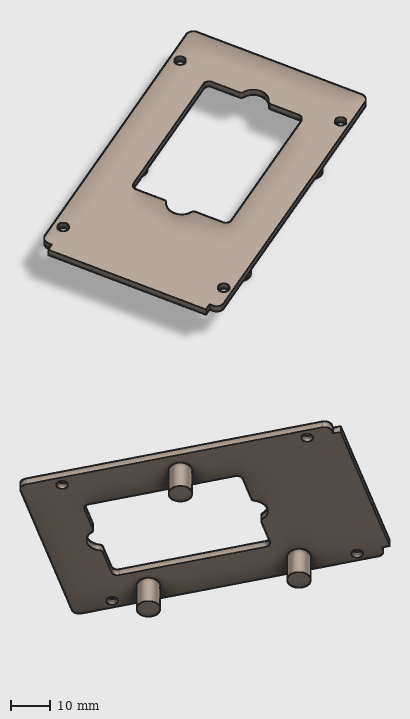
import cadquery as cq

plate_width = 51.3
total_length = 84.7
plate_thickness = 2.0
tab_depth = 2.0
tab_width = 45.3
plate_corner_radius = 2.0

feature_center_x = 0.2

hole_diameter = 3.0
hole_spacing_x = 46.1
hole_spacing_y = 65.05
hole_center_y = -1.0

window_width = 28.0
window_length = 42.0
window_center_y = 7.6
window_corner_radius = 1.5
notch_radius = 4.0
notch_depth = 2.9
notch_mouth_radius = 1.0

post_diameter = 6.0
total_height = 10.0
post_offset_x = 20.0
post_pitch_y = 20.0
post_middle_y = 1.0
post_length = total_height - plate_thickness


def make_plate():
    body_length = total_length - tab_depth
    body = (
        cq.Workplane("XY")
        .center(0, tab_depth / 2)
        .rect(plate_width, body_length)
        .extrude(plate_thickness)
        .edges("|Z")
        .fillet(plate_corner_radius)
    )
    tab_length = 2 * tab_depth
    tab = (
        cq.Workplane("XY")
        .center(0, (tab_length - total_length) / 2)
        .rect(tab_width, tab_length)
        .extrude(plate_thickness)
    )
    return body.union(tab)


def make_window():
    opening = (
        cq.Workplane("XY")
        .center(feature_center_x, window_center_y)
        .rect(window_width, window_length)
        .extrude(plate_thickness)
        .edges("|Z")
        .fillet(window_corner_radius)
    )
    notch_offset_y = window_length / 2 + notch_depth - notch_radius
    notches = (
        cq.Workplane("XY")
        .center(feature_center_x, window_center_y)
        .pushPoints([(0, notch_offset_y), (0, -notch_offset_y)])
        .circle(notch_radius)
        .extrude(plate_thickness)
    )
    mouth_edges = cq.selectors.BoxSelector(
        (-window_width / 4, -total_length / 2, 0),
        (window_width / 4, total_length / 2, plate_thickness),
    )
    upright_edges = cq.selectors.ParallelDirSelector(cq.Vector(0, 0, 1))
    return opening.union(notches).edges(upright_edges & mouth_edges).fillet(notch_mouth_radius)


def make_holes():
    return (
        cq.Workplane("XY")
        .center(feature_center_x, hole_center_y)
        .rect(hole_spacing_x, hole_spacing_y, forConstruction=True)
        .vertices()
        .circle(hole_diameter / 2)
        .extrude(plate_thickness)
    )


def make_posts():
    positions = [
        (-post_offset_x, post_middle_y),
        (post_offset_x, post_middle_y + post_pitch_y),
        (post_offset_x, post_middle_y - post_pitch_y),
    ]
    return (
        cq.Workplane("XY")
        .center(feature_center_x, 0)
        .pushPoints(positions)
        .circle(post_diameter / 2)
        .extrude(-post_length)
    )


result = make_plate().cut(make_window()).cut(make_holes()).union(make_posts())